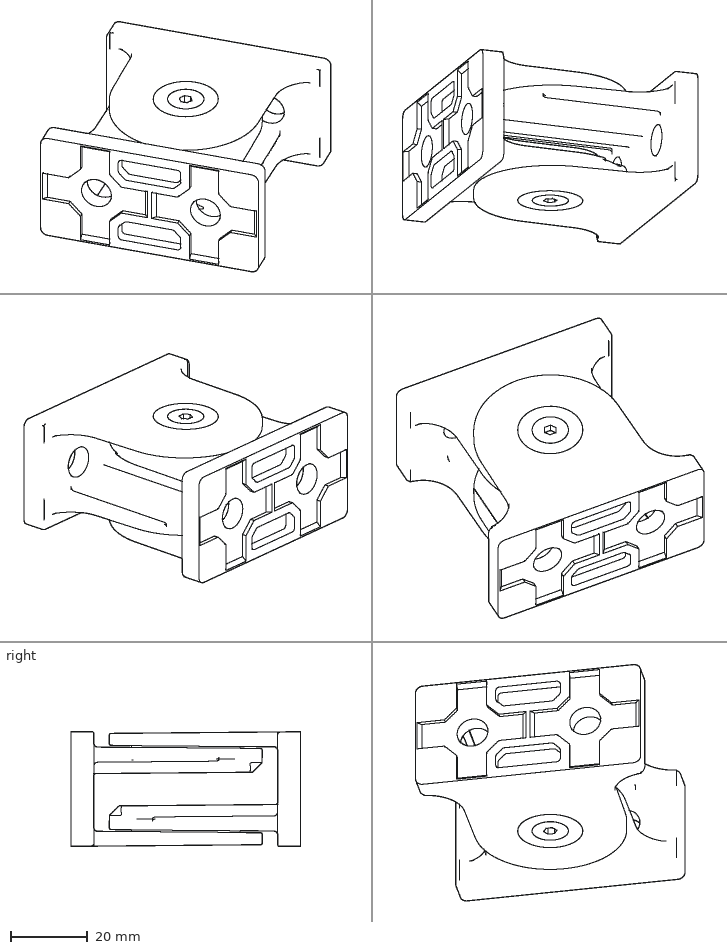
import cadquery as cq
import math


WIDTH = 60.0
HEIGHT = 30.0
HALF_SPAN = 30.0
PLATE_THICKNESS = 6.0
PLATE_CORNER = 2.0
PLATE_BACK_ROUND = 0.5
PLATE_BACK = HALF_SPAN - PLATE_THICKNESS

HOLE_PITCH = 30.0
HOLE_DIAMETER = 8.2
CROSS_REACH = 14.5
CROSS_HALF_WIDTH = 4.0
CROSS_CORNER = 7.25
CROSS_DEPTH = 1.2
CROSS_END_SLOPE = 1.0

POCKET_HALF_LENGTH = 8.6
POCKET_NEAR = 6.4
POCKET_FAR = 12.3
POCKET_CHAMFER = 2.0
POCKET_ROUND = 1.0
POCKET_DEPTH = 3.0

DRAFT = 0.5
TAPER = math.tan(math.radians(DRAFT))
ARM_RADIUS = 20.0
FLARE_RADIUS = 10.0
FLARE_INSET = 1.1
ARM_FACE_Z = 11.0
ARM_THICKNESS = 4.0
ROOT_RADIUS = 1.0
RIM_ROUND = 0.5

LIP_X = 18.0
LIP_Z = ARM_THICKNESS - ARM_FACE_Z
CHANNEL_Z = LIP_Z - 0.5
RIB_FOOT_X = 13.5
RIB_FOOT_RADIUS = 7.5
RIB_CREST_X = 5.0
RIB_CREST_Z = LIP_Z + 3.0
RIB_ROOT_RADIUS = 0.5
RIB_NOSE_CHAMFER = 2.5

BUSHING_DIAMETER = 17.0
WASHER_DIAMETER = 28.4
SCREW_HEAD_DIAMETER = 9.5
SCREW_DIAMETER = 5.0
SCREW_END_Z = 5.5
SOCKET_FLATS = 3.0
SOCKET_DEPTH = 2.0
SOCKET_CONE_DEPTH = 0.8

MARGIN = 5.0
TOLERANCE = 0.05
TIP_Y = -ARM_RADIUS - MARGIN
WIDE_X = WIDTH / 2 + MARGIN


def drafted(z_root, slope, y):
    """Height at y of a face that has height z_root at the plate back."""
    return z_root + slope * (PLATE_BACK - y)


def outer_arm_top(y):
    """Height of the outer arm's top, which starts at the plate's outer edge."""
    return HEIGHT / 2 - TAPER * (HALF_SPAN - y)


def half_turn(body):
    """The matching body on the other bracket's side of the hinge."""
    return body.rotate((0, 0, 0), (1, 0, 0), 180)


def side_prism(points):
    """Prism along X, wider than the part, from a (Y, Z) outline."""
    return cq.Workplane("YZ").polyline(points).close().extrude(WIDE_X, both=True)


def arm_prism(points):
    """Prism from past the arm tip into the plate, from an (X, Z) outline."""
    start_y = PLATE_BACK + MARGIN
    section = cq.Workplane("XZ", origin=(0, start_y, 0)).polyline(points).close()
    return section.extrude(start_y - TIP_Y)


def disc(diameter, z_low, z_high):
    return cq.Workplane("XY", origin=(0, 0, z_low)).circle(diameter / 2).extrude(z_high - z_low)



def plate_block(depth):
    """Block with the plate's rounded outline, reaching back from its outer face."""
    block = cq.Workplane("XY").box(WIDTH, depth, HEIGHT).edges("|Y").fillet(PLATE_CORNER)
    return block.translate((0, HALF_SPAN - depth / 2, 0))


def plate():
    return plate_block(PLATE_THICKNESS).faces("<Y").edges().fillet(PLATE_BACK_ROUND)


def cross_recess():
    """Cross with bevelled inner corners and sloped end walls, centred on the plate face."""
    a, b, reach = CROSS_HALF_WIDTH, CROSS_CORNER, CROSS_REACH
    floor_y = HALF_SPAN - CROSS_DEPTH
    floor_reach = reach - CROSS_END_SLOPE
    octagon = [(b, a), (a, b), (-a, b), (-b, a), (-b, -a), (-a, -b), (a, -b), (b, -a)]
    middle = cq.Workplane("XZ", origin=(0, HALF_SPAN, 0)).polyline(octagon).close()
    bar_profile = [
        (-reach, HALF_SPAN), (reach, HALF_SPAN), (floor_reach, floor_y), (-floor_reach, floor_y)]
    bar = cq.Workplane("XY").polyline(bar_profile).close().extrude(a, both=True)
    upright_bar = bar.rotate((0, 0, 0), (0, 1, 0), 90)
    return middle.extrude(CROSS_DEPTH).union(bar).union(upright_bar)


def pocket():
    """Pocket in the upper half of the plate face, bevelled towards the crosses."""
    block = cq.Workplane("XY").box(2 * POCKET_HALF_LENGTH, POCKET_DEPTH, POCKET_FAR - POCKET_NEAR)
    block = block.edges("|Y and <Z").chamfer(POCKET_CHAMFER)
    block = block.edges("|Y").fillet(POCKET_ROUND)
    return block.translate((0, HALF_SPAN - POCKET_DEPTH / 2, (POCKET_NEAR + POCKET_FAR) / 2))


def mounting_features():
    """Material removed from the plate: holes, cross recesses and pockets."""
    removed = pocket().union(pocket().mirror("XY"))
    for x in (-HOLE_PITCH / 2, HOLE_PITCH / 2):
        hole = cq.Workplane("XZ", origin=(x, HALF_SPAN, 0)).circle(HOLE_DIAMETER / 2)
        removed = removed.union(hole.extrude(PLATE_THICKNESS))
        removed = removed.union(cross_recess().translate((x, 0, 0)))
    return removed



def arm_column():
    """Upright column in plan: flared at the plate, drafted sides, round tip."""
    angle = math.radians(DRAFT)
    flare_y = PLATE_BACK - FLARE_RADIUS
    tip_end = (ARM_RADIUS * math.cos(angle), -ARM_RADIUS * math.sin(angle))
    flare_start_y = flare_y + FLARE_RADIUS * math.sin(angle)
    flare_start = (tip_end[0] + (flare_start_y - tip_end[1]) * TAPER, flare_start_y)
    flare_x = flare_start[0] + FLARE_RADIUS * math.cos(angle)
    root_x = WIDTH / 2 - FLARE_INSET
    root_angle = math.asin((flare_x - root_x) / FLARE_RADIUS)
    middle_angle = (root_angle + math.pi / 2) / 2

    def on_flare(turn):
        return (flare_x - FLARE_RADIUS * math.sin(turn), flare_y + FLARE_RADIUS * math.cos(turn))

    def mirrored(point):
        return (-point[0], point[1])

    root = on_flare(root_angle)
    middle = on_flare(middle_angle)
    inside_plate_y = PLATE_BACK + PLATE_THICKNESS / 2
    base_z = PLATE_CORNER - HEIGHT / 2
    column = (
        cq.Workplane("XY", origin=(0, 0, base_z))
        .moveTo(root_x, inside_plate_y)
        .lineTo(*root)
        .threePointArc(middle, flare_start)
        .lineTo(*tip_end)
        .threePointArc((0, -ARM_RADIUS), mirrored(tip_end))
        .lineTo(*mirrored(flare_start))
        .threePointArc(mirrored(middle), mirrored(root))
        .lineTo(-root_x, inside_plate_y)
        .close()
        .extrude(HEIGHT / 2 - base_z)
    )
    return column.intersect(plate_block(2 * HALF_SPAN))


def space_above_outer_arm():
    ceiling = HEIGHT / 2 + MARGIN
    return side_prism([
        (HALF_SPAN, HEIGHT / 2), (TIP_Y, outer_arm_top(TIP_Y)), (TIP_Y, ceiling), (HALF_SPAN, ceiling)])


def space_below_inner_arm():
    floor = -HEIGHT / 2 - MARGIN
    space = side_prism([
        (PLATE_BACK, floor), (PLATE_BACK, -ARM_FACE_Z),
        (TIP_Y, drafted(-ARM_FACE_Z, TAPER, TIP_Y)), (TIP_Y, floor)])
    return space.faces(">Y").edges(">Z").fillet(ROOT_RADIUS)


def space_between_arms(prism, root_radius):
    """Tilts the prism's floor by the draft, limits it to below the outer arm, rounds its root."""
    tilted = prism.rotate((0, PLATE_BACK, LIP_Z), (1, PLATE_BACK, LIP_Z), DRAFT)
    window = side_prism([
        (PLATE_BACK, -HEIGHT / 2), (PLATE_BACK, ARM_FACE_Z),
        (TIP_Y, drafted(ARM_FACE_Z, TAPER, TIP_Y)), (TIP_Y, -HEIGHT / 2)])
    return tilted.intersect(window).faces(">Y").edges("not(|Z)").fillet(root_radius)


def space_over_rib():
    """Space over the channels and the raised rib between them."""
    half = [(LIP_X, HEIGHT), (LIP_X, CHANNEL_Z), (RIB_FOOT_X, CHANNEL_Z), (RIB_CREST_X, RIB_CREST_Z)]
    prism = arm_prism(half + [(-x, z) for x, z in reversed(half)])
    for x in (-RIB_FOOT_X, RIB_FOOT_X):
        foot_edge = cq.selectors.NearestToPointSelector((x, 0, CHANNEL_Z))
        prism = prism.edges("|Y").edges(foot_edge).fillet(RIB_FOOT_RADIUS)
    return space_between_arms(prism, RIB_ROOT_RADIUS)


def space_over_lip(side):
    """Space over the flat lip along one edge of the inner arm; side is 1 or -1."""
    inner, outer = side * LIP_X, side * WIDE_X
    prism = arm_prism([(inner, LIP_Z), (outer, LIP_Z), (outer, HEIGHT), (inner, HEIGHT)])
    return space_between_arms(prism, ROOT_RADIUS)


def space_before_rib_nose():
    """Conical bevel at the rib's end, concentric with the round tip."""
    crest_z = drafted(RIB_CREST_Z, -TAPER, -ARM_RADIUS)
    base_z = crest_z - RIB_NOSE_CHAMFER
    top_z = crest_z + MARGIN
    inner = ARM_RADIUS - RIB_NOSE_CHAMFER
    outer = ARM_RADIUS + MARGIN
    ring = (
        cq.Workplane("XZ")
        .polyline([(ARM_RADIUS, base_z), (outer, base_z), (outer, top_z), (inner, top_z), (inner, crest_z)])
        .close()
        .revolve(360, (0, 0, 0), (0, 1, 0))
    )
    tip_side = side_prism([(0, -HEIGHT), (0, HEIGHT), (TIP_Y, HEIGHT), (TIP_Y, -HEIGHT)])
    return ring.intersect(tip_side)


def is_rim(edge):
    """True for an edge around an arm face, false for upright edges, roots and the rib nose."""
    middle = edge.positionAt(0.5)
    straight = edge.geomType() == "LINE"
    upright = straight and abs(edge.tangentAt(0.5).z) > abs(edge.tangentAt(0.5).y)
    on_tip = middle.y < 0 and abs(math.hypot(middle.x, middle.y) - ARM_RADIUS) < TOLERANCE
    on_sides = 0 <= middle.y < PLATE_BACK - ROOT_RADIUS / 2 and abs(middle.x) > ARM_RADIUS
    on_root = straight and abs(middle.y - (PLATE_BACK - ROOT_RADIUS)) < TOLERANCE
    on_nose = abs(middle.x) < RIB_FOOT_X and CHANNEL_Z < middle.z < 0
    return (on_tip or on_sides) and not (upright or on_root or on_nose)


def arms():
    body = arm_column().cut(space_above_outer_arm()).cut(space_below_inner_arm())
    body = body.cut(space_over_rib()).cut(space_over_lip(1)).cut(space_over_lip(-1))
    body = body.cut(space_before_rib_nose())
    return body.edges().filter(is_rim).fillet(RIM_ROUND)



def screw_blank():
    """Countersunk screw without its socket, its head reaching past the outer arm."""
    head_z = outer_arm_top(0)
    head_radius, shank_radius = SCREW_HEAD_DIAMETER / 2, SCREW_DIAMETER / 2
    neck_z = head_z - (head_radius - shank_radius)
    profile = [
        (0, SCREW_END_Z), (shank_radius, SCREW_END_Z), (shank_radius, neck_z),
        (head_radius, head_z), (head_radius, HEIGHT / 2), (0, HEIGHT / 2)]
    return cq.Workplane("XZ").polyline(profile).close().revolve(360, (0, 0, 0), (0, 1, 0))


def make_bracket():
    """Plate and two arms, bored for a bushing in the outer arm and a screw in the inner arm."""
    bracket = plate().union(arms()).cut(mounting_features()).cut(space_above_outer_arm()).clean()
    bracket = bracket.cut(disc(BUSHING_DIAMETER, 0, HEIGHT))
    return bracket.cut(half_turn(disc(SCREW_DIAMETER, SCREW_END_Z, HEIGHT / 2)))


def make_bushing():
    """Flush sleeve through the outer arm, countersunk for the screw head."""
    outer_arm_layer = side_prism([
        (PLATE_BACK, ARM_FACE_Z), (TIP_Y, drafted(ARM_FACE_Z, TAPER, TIP_Y)),
        (TIP_Y, outer_arm_top(TIP_Y)), (PLATE_BACK, outer_arm_top(PLATE_BACK))])
    return disc(BUSHING_DIAMETER, 0, HEIGHT).intersect(outer_arm_layer).cut(screw_blank())


def make_washer():
    """Washer filling the gap between the two brackets' arms, whose faces tilt alike."""
    far_z = drafted(ARM_FACE_Z, TAPER, -PLATE_BACK)
    near_z = drafted(ARM_FACE_Z, -TAPER, -PLATE_BACK)
    gap_layer = side_prism([
        (PLATE_BACK, ARM_FACE_Z), (-PLATE_BACK, far_z), (-PLATE_BACK, ARM_FACE_Z), (PLATE_BACK, near_z)])
    return disc(WASHER_DIAMETER, 0, HEIGHT).intersect(gap_layer).cut(screw_blank())


def make_screw():
    """Flush screw with a hexagonal socket that ends in a cone."""
    socket_floor = outer_arm_top(0) - SOCKET_DEPTH
    socket = (
        cq.Workplane("XY", origin=(0, 0, socket_floor))
        .polygon(6, 2 * SOCKET_FLATS / math.sqrt(3))
        .extrude(SOCKET_DEPTH + MARGIN)
    )
    cone_start = cq.Vector(0, 0, socket_floor - SOCKET_CONE_DEPTH)
    cone = cq.Workplane(cq.Solid.makeCone(0, SOCKET_FLATS / 2, SOCKET_CONE_DEPTH, cone_start))
    return screw_blank().cut(space_above_outer_arm()).cut(socket).cut(cone)


bodies = []
for make_body in (make_bracket, make_bushing, make_washer, make_screw):
    body = make_body()
    bodies.append(body.solids().val())
    bodies.append(half_turn(body).solids().val())

result = cq.Compound.makeCompound(bodies)